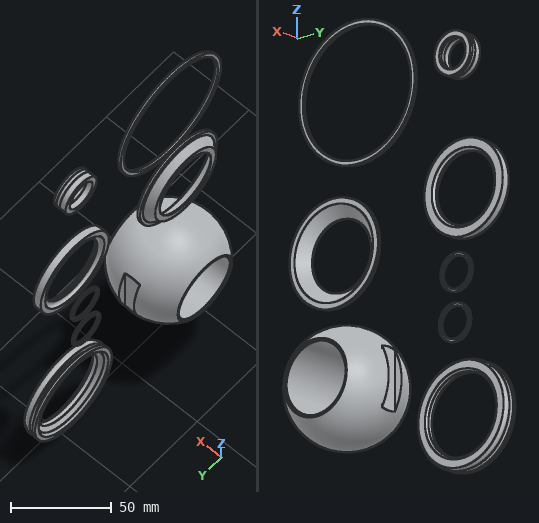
import cadquery as cq
import math

RING_FACE_X = -5.0

BALL_DIAMETER = 63.1
BALL_LENGTH = 48.5
BALL_BORE_DIAMETER = 38.0
BALL_BORE_CHAMFER = 0.5
SLOT_WIDTH = 10.0
SLOT_FLOOR_Y = 26.8

BODY_GASKET_CENTER = (3.7, 154.0)
BODY_GASKET_OUTER = 74.5
BODY_GASKET_INNER = 69.9
BODY_GASKET_THICKNESS = 1.7

PACKING_CENTER = (70.4, 159.5)
PACKING_OUTER = 23.0
PACKING_INNER = 17.0
PACKING_THICKNESSES = (3.7, 2.2, 1.7)

WASHER_CENTERS = ((67.1, 48.2), (66.1, 22.4))
WASHER_OUTER = 20.1
WASHER_INNER = 17.2
WASHER_THICKNESS = 1.0

BACKING_CENTER = (75.0, 89.7)
BACKING_OUTER = 50.7
BACKING_INNER = 38.0
BACKING_THICKNESS = 4.7
RECESS_OUTER = 44.0
RECESS_INNER = 41.0
RECESS_DEPTH = 2.0
RECESS_FILLET = (RECESS_OUTER - RECESS_INNER) / 2
BACKING_BACK_CHAMFER = 1.5

SEAT_CENTER = (-7.2, 71.4)
SEAT_OUTER = 57.2
SEAT_INNER = 38.0
SEAT_FRONT_DIAMETER = 45.2
SEAT_TAPER_END_DIAMETER = 53.0
SEAT_THICKNESS = 6.5
SEAT_RIM_THICKNESS = 1.7
SEAT_LIP_THICKNESS = 0.5
SEAT_HOLLOW_DIAMETER = 50.7

HOLDER_CENTER = (76.0, -28.8)
HOLDER_OUTER = 57.2
HOLDER_INNER = 44.0
HOLDER_MOUTH_DIAMETER = 51.7
HOLDER_MOUTH_DEPTH = 4.0
HOLDER_THICKNESS = 8.0
HOLDER_GROOVE_START = 1.7
HOLDER_GROOVE_WIDTH = 2.2
HOLDER_GROOVE_DIAMETER = 49.2
HOLDER_CROWN_WIDTH = 2.7
HOLDER_CROWN_EDGE_DIAMETER = 56.2
HOLDER_BACK_DIAMETER = 55.2
HOLDER_BORE_CHAMFER = 1.2


def revolve_outline(outline, center, face_x=RING_FACE_X):
    """Revolve a closed (depth, radius) outline about X, with depth 0 at face_x."""
    y, z = center
    return outline.revolve(360, (0, 0), (1, 0)).translate((face_x, y, z))


def revolved_ring(profile, center, face_x=RING_FACE_X):
    """Revolve a straight-sided profile of (depth, diameter) points."""
    points = [(depth, diameter / 2) for depth, diameter in profile]
    outline = cq.Workplane("XY").polyline(points).close()
    return revolve_outline(outline, center, face_x)


def flat_ring(outer, inner, thickness, center, face_x=RING_FACE_X):
    profile = [(0, inner), (0, outer), (thickness, outer), (thickness, inner)]
    return revolved_ring(profile, center, face_x)


def make_ball():
    ball_radius = BALL_DIAMETER / 2
    half_length = BALL_LENGTH / 2
    bore_radius = BALL_BORE_DIAMETER / 2
    bore_mouth_radius = bore_radius + BALL_BORE_CHAMFER
    chamfer_end = half_length - BALL_BORE_CHAMFER
    flat_radius = math.sqrt(ball_radius**2 - half_length**2)
    ball = (
        cq.Workplane("XY")
        .moveTo(-half_length, flat_radius)
        .threePointArc((0, ball_radius), (half_length, flat_radius))
        .lineTo(half_length, bore_mouth_radius)
        .lineTo(chamfer_end, bore_radius)
        .lineTo(-chamfer_end, bore_radius)
        .lineTo(-half_length, bore_mouth_radius)
        .close()
        .revolve(360, (0, 0), (1, 0))
    )
    slot = cq.Workplane("XY").box(
        SLOT_WIDTH, BALL_DIAMETER, BALL_DIAMETER, centered=(True, False, True)
    )
    return ball.cut(slot.translate((0, SLOT_FLOOR_Y, 0)))


def make_packing_rings():
    rings = []
    face_x = RING_FACE_X
    for thickness in PACKING_THICKNESSES:
        rings.append(flat_ring(PACKING_OUTER, PACKING_INNER, thickness, PACKING_CENTER, face_x))
        face_x += thickness
    return rings


def make_backing_ring():
    inner_radius = BACKING_INNER / 2
    outer_radius = BACKING_OUTER / 2
    recess_radius = RECESS_OUTER / 2
    fillet_start = RECESS_DEPTH - RECESS_FILLET
    fillet_mid = RECESS_FILLET * math.sqrt(0.5)
    outline = (
        cq.Workplane("XY")
        .moveTo(RECESS_DEPTH, inner_radius)
        .lineTo(RECESS_DEPTH, RECESS_INNER / 2)
        .threePointArc(
            (fillet_start + fillet_mid, RECESS_INNER / 2 + fillet_mid),
            (fillet_start, recess_radius),
        )
        .lineTo(0, recess_radius)
        .lineTo(0, outer_radius)
        .lineTo(BACKING_THICKNESS, outer_radius)
        .lineTo(BACKING_THICKNESS, inner_radius + BACKING_BACK_CHAMFER)
        .lineTo(BACKING_THICKNESS - BACKING_BACK_CHAMFER, inner_radius)
        .close()
    )
    return revolve_outline(outline, BACKING_CENTER)


def make_seat_ring():
    rim_start = SEAT_THICKNESS - SEAT_RIM_THICKNESS
    profile = [
        (0, SEAT_INNER),
        (0, SEAT_FRONT_DIAMETER),
        (rim_start, SEAT_TAPER_END_DIAMETER),
        (rim_start, SEAT_OUTER),
        (SEAT_THICKNESS, SEAT_OUTER),
        (SEAT_THICKNESS, SEAT_HOLLOW_DIAMETER),
        (SEAT_LIP_THICKNESS, SEAT_INNER),
    ]
    return revolved_ring(profile, SEAT_CENTER)


def make_seat_holder():
    outer_radius = HOLDER_OUTER / 2
    inner_radius = HOLDER_INNER / 2
    groove_radius = HOLDER_GROOVE_DIAMETER / 2
    crown_edge_radius = HOLDER_CROWN_EDGE_DIAMETER / 2
    crown_start = HOLDER_GROOVE_START + HOLDER_GROOVE_WIDTH
    crown_end = crown_start + HOLDER_CROWN_WIDTH
    crown_middle = (crown_start + crown_end) / 2
    outline = (
        cq.Workplane("XY")
        .moveTo(0, HOLDER_MOUTH_DIAMETER / 2)
        .lineTo(0, outer_radius)
        .lineTo(HOLDER_GROOVE_START, outer_radius)
        .lineTo(HOLDER_GROOVE_START, groove_radius)
        .lineTo(crown_start, groove_radius)
        .lineTo(crown_start, crown_edge_radius)
        .threePointArc((crown_middle, outer_radius), (crown_end, crown_edge_radius))
        .lineTo(HOLDER_THICKNESS, HOLDER_BACK_DIAMETER / 2)
        .lineTo(HOLDER_THICKNESS, inner_radius + HOLDER_BORE_CHAMFER)
        .lineTo(HOLDER_THICKNESS - HOLDER_BORE_CHAMFER, inner_radius)
        .lineTo(HOLDER_MOUTH_DEPTH, inner_radius)
        .close()
    )
    return revolve_outline(outline, HOLDER_CENTER)


ball = make_ball()
body_gasket = flat_ring(
    BODY_GASKET_OUTER, BODY_GASKET_INNER, BODY_GASKET_THICKNESS, BODY_GASKET_CENTER
)
packing_rings = make_packing_rings()
washers = [
    flat_ring(WASHER_OUTER, WASHER_INNER, WASHER_THICKNESS, center) for center in WASHER_CENTERS
]
backing_ring = make_backing_ring()
seat_ring = make_seat_ring()
seat_holder = make_seat_holder()

single_bodies = [ball, body_gasket, backing_ring, seat_ring, seat_holder]
result = cq.Compound.makeCompound(
    [body.val() for body in single_bodies + packing_rings + washers]
)